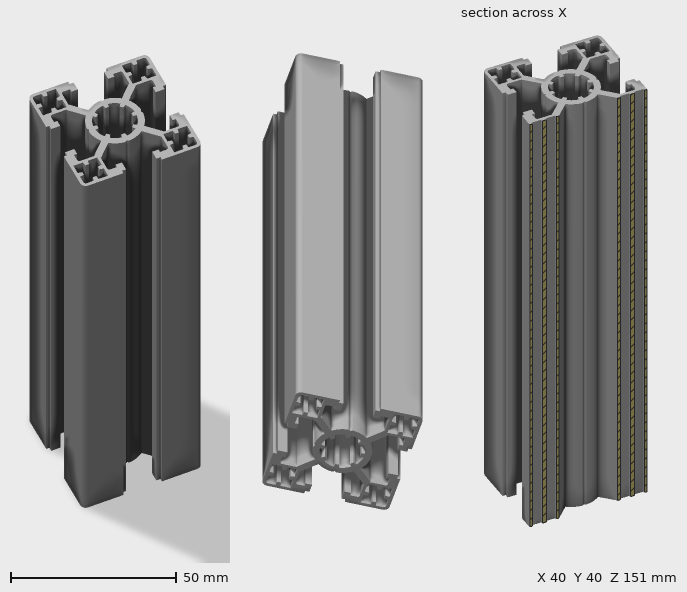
import cadquery as cq
import math

LENGTH = 151.0
WIDTH = 40.0
HALF = WIDTH / 2
CORNER_RADIUS = 1.8

SLOT_OPENING = 10.1
REBATE_DEPTH = 1.0
REBATE_WIDTH = 1.4
FLANGE_THICKNESS = 3.0
LIP_HEIGHT = 4.1
LIP_WIDTH = 2.1
CAVITY_CORNER_RADIUS = 0.8

OUTER_WALL = 1.0
INNER_WALL = 0.9
POST_INNER_FACE = 10.1
CHAMBER_CORNER_RADIUS = 0.8

TUBE_OUTER_RADIUS = 9.0
TUBE_INNER_RADIUS = 7.0
WEB_THICKNESS = 2.3

RIB_ROOT_WIDTH = 1.7
RIB_TIP_WIDTH = 1.2
RIB_HEIGHT = 1.4
RIB_ROOT_OVERLAP = 0.5
TUBE_RIB_COUNT = 8
TUBE_RIB_HEIGHT = 1.2

GROOVE_WIDTH = 1.4
GROOVE_DEPTH = 0.5


def bar(x_min, x_max, y_min, y_max):
    """Full-length rectangular bar between the given X and Y limits."""
    return (
        cq.Workplane("XY")
        .center((x_min + x_max) / 2, (y_min + y_max) / 2)
        .rect(x_max - x_min, y_max - y_min)
        .extrude(LENGTH)
    )


def four_around(shape):
    """Join four copies of a shape, turned in quarter turns about Z."""
    joined = shape
    for quarter in range(1, 4):
        joined = joined.union(shape.rotate((0, 0, 0), (0, 0, 1), 90 * quarter))
    return joined


def rib(height):
    """Tapered rib along Z that rises from the origin in +X, narrowing towards its tip."""
    root_half = RIB_ROOT_WIDTH / 2
    tip_half = RIB_TIP_WIDTH / 2
    return (
        cq.Workplane("XY")
        .moveTo(-RIB_ROOT_OVERLAP, -root_half)
        .lineTo(0, -root_half)
        .lineTo(height, -tip_half)
        .lineTo(height, tip_half)
        .lineTo(0, root_half)
        .lineTo(-RIB_ROOT_OVERLAP, root_half)
        .close()
        .extrude(LENGTH)
    )


def flange():
    """Hooked flange that runs from the corner in +X, +Y towards the slot in +Y."""
    edge = SLOT_OPENING / 2
    lip_inside = edge + LIP_WIDTH
    lip_tip = HALF - LIP_HEIGHT
    underside = HALF - FLANGE_THICKNESS
    blend = CAVITY_CORNER_RADIUS
    blend_mid = blend * (1 - math.sqrt(0.5))
    return (
        cq.Workplane("XY")
        .moveTo(edge, lip_tip)
        .lineTo(lip_inside, lip_tip)
        .lineTo(lip_inside, underside)
        .lineTo(POST_INNER_FACE - blend, underside)
        .threePointArc(
            (POST_INNER_FACE - blend_mid, underside - blend_mid),
            (POST_INNER_FACE, underside - blend),
        )
        .lineTo(POST_INNER_FACE + INNER_WALL, underside - blend)
        .lineTo(POST_INNER_FACE + INNER_WALL, HALF)
        .lineTo(edge + REBATE_WIDTH, HALF)
        .lineTo(edge + REBATE_WIDTH, HALF - REBATE_DEPTH)
        .lineTo(edge, HALF - REBATE_DEPTH)
        .close()
        .extrude(LENGTH)
    )


def corner_post():
    """Hollow square post in the +X, +Y corner with a rib on each inner wall and its two flanges."""
    chamber_min = POST_INNER_FACE + INNER_WALL
    chamber_max = HALF - OUTER_WALL
    middle = (chamber_min + chamber_max) / 2
    reach = (chamber_max - chamber_min) / 2

    post = bar(POST_INNER_FACE, HALF, POST_INNER_FACE, HALF)
    post = post.edges("|Z and >X and >Y").fillet(CORNER_RADIUS)
    chamber = bar(chamber_min, chamber_max, chamber_min, chamber_max)
    chamber = chamber.edges("|Z and >X and >Y").fillet(CHAMBER_CORNER_RADIUS)
    post = post.cut(chamber)

    wall_rib = rib(RIB_HEIGHT).translate((-reach, 0, 0))
    post = post.union(four_around(wall_rib).translate((middle, middle, 0)))

    side_flange = flange()
    post = post.union(side_flange)
    return post.union(side_flange.mirror(cq.Vector(1, -1, 0)))


def web():
    """Diagonal web from the tube to the inner corner of the +X, +Y post."""
    tube_middle = (TUBE_OUTER_RADIUS + TUBE_INNER_RADIUS) / 2
    post_corner = POST_INNER_FACE * math.sqrt(2)
    straight = bar(tube_middle, post_corner + INNER_WALL, -WEB_THICKNESS / 2, WEB_THICKNESS / 2)
    return straight.rotate((0, 0, 0), (0, 0, 1), 45)


def central_tube():
    """Round tube with evenly spaced ribs on its bore."""
    tube = cq.Workplane("XY").circle(TUBE_OUTER_RADIUS).circle(TUBE_INNER_RADIUS).extrude(LENGTH)
    bore_rib = rib(TUBE_RIB_HEIGHT).rotate((0, 0, 0), (0, 0, 1), 180).translate((TUBE_INNER_RADIUS, 0, 0))
    for index in range(TUBE_RIB_COUNT):
        tube = tube.union(bore_rib.rotate((0, 0, 0), (0, 0, 1), 360 * index / TUBE_RIB_COUNT))
    return tube


def tube_groove():
    """Wedge that cuts the V-groove on the +X side of the tube."""
    mouth = TUBE_OUTER_RADIUS + GROOVE_DEPTH
    return (
        cq.Workplane("XY")
        .moveTo(TUBE_OUTER_RADIUS - GROOVE_DEPTH, 0)
        .lineTo(mouth, -GROOVE_WIDTH)
        .lineTo(mouth, GROOVE_WIDTH)
        .close()
        .extrude(LENGTH)
    )


quarter_section = corner_post().union(web())
result = central_tube().cut(four_around(tube_groove())).union(four_around(quarter_section))